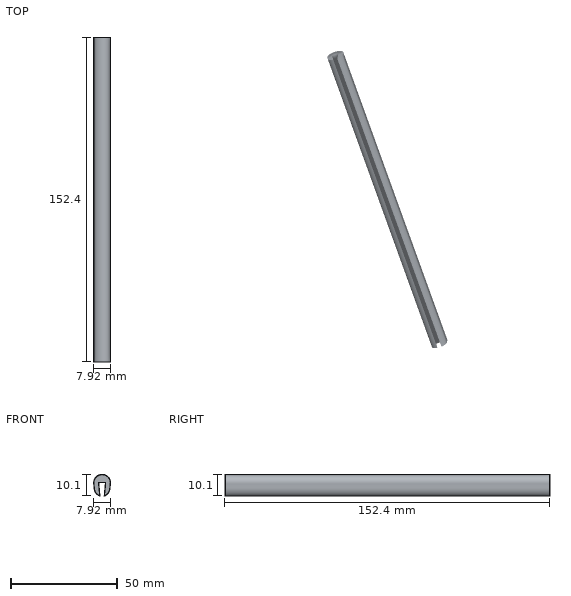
import cadquery as cq
import math

LENGTH = 152.4
WIDTH = 7.92
HEIGHT = 10.125

HEAD_ARC_BELOW_CENTER = 11.5
FLAT_HEIGHT = 1.95
SIDE_TAPER = 5.3

MOUTH_WIDTH = 2.0
SLOT_CEILING_DROP = 3.81

head_radius = WIDTH / 2
lip_z = head_radius - HEIGHT
ceiling_z = head_radius - SLOT_CEILING_DROP

head_end_angle = math.radians(HEAD_ARC_BELOW_CENTER)
side_slope = math.tan(math.radians(SIDE_TAPER))
flat_top_x = head_radius * math.cos(head_end_angle)
flat_top_z = -head_radius * math.sin(head_end_angle)
flat_bottom_x = flat_top_x - FLAT_HEIGHT * side_slope
flat_bottom_z = flat_top_z - FLAT_HEIGHT
lip_x = MOUTH_WIDTH / 2
ceiling_x = lip_x + (ceiling_z - lip_z) * side_slope


def half_profile():
    """+X half of the profile, closed along the YZ plane between slot ceiling and head top."""
    return (
        cq.Workplane("XZ")
        .moveTo(0, head_radius)
        .threePointArc((head_radius, 0), (flat_top_x, flat_top_z))
        .lineTo(flat_bottom_x, flat_bottom_z)
        .tangentArcPoint((lip_x, lip_z), relative=False)
        .lineTo(ceiling_x, ceiling_z)
        .lineTo(0, ceiling_z)
        .close()
    )


def make_strip():
    """Extrude one half evenly about the XZ plane and mirror it into the full strip."""
    half = half_profile().extrude(LENGTH / 2, both=True)
    return half.union(half.mirror("YZ")).clean()


result = make_strip()